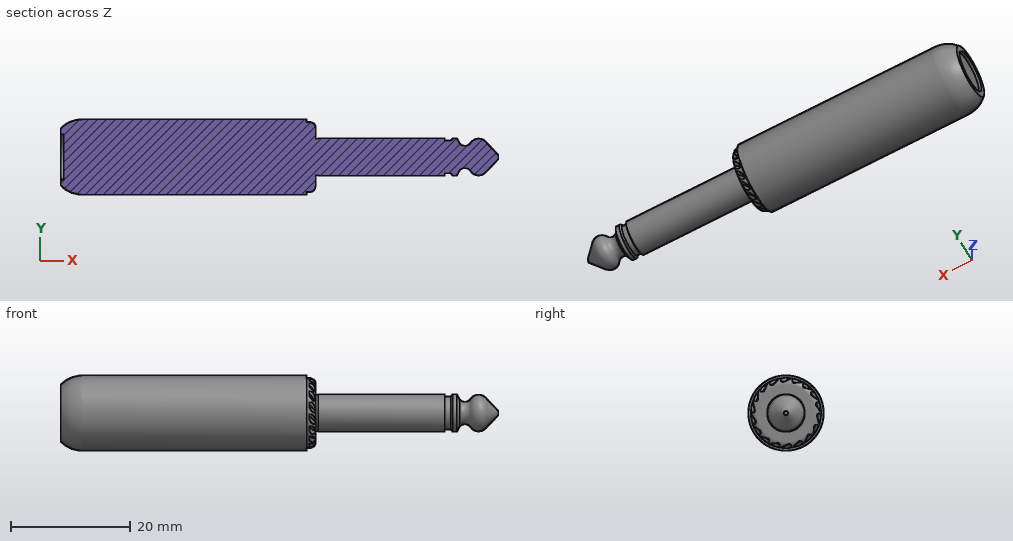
import cadquery as cq
import math


handle_radius = 6.35
handle_end = 41.3
dome_length = 3.6
dome_end_radius = 4.78
recess_radius = 3.75
recess_depth = 0.5

collar_radius = 5.9
collar_end = 42.85
collar_round = 1.1
flute_count = 18
flute_depth = 0.2
flute_half_width = 0.45
flute_start = 41.7
flute_end = 42.7
flute_helix_angle = 45.0

neck_radius = 3.1
neck_end = 43.2
sleeve_radius = 3.175
sleeve_end = 64.5

groove_radius = 2.8
groove_end = 65.5
ring_chamfer = 0.3
ring_flat_end = 66.5
ring_end = 67.0

waist_radius = 1.9
waist_center = 67.85
ball_radius = 3.12
ball_center = 70.15
ball_arc_radius = 1.6
tip_flat_radius = 0.35
overall_length = 73.47

HALF_ROOT = math.sqrt(0.5)


def dome_midpoint():
    """Middle of the arc that meets the handle tangentially and ends on the back face."""
    drop = handle_radius - dome_end_radius
    arc_radius = (dome_length**2 + drop**2) / (2 * drop)
    half_sweep = math.asin(dome_length / arc_radius) / 2
    x = dome_length - arc_radius * math.sin(half_sweep)
    r = handle_radius - arc_radius * (1 - math.cos(half_sweep))
    return x, r


def handle_and_sleeve():
    round_start = collar_end - collar_round
    round_inset = collar_round * (1 - HALF_ROOT)
    profile = (
        cq.Workplane("XY")
        .moveTo(0, 0)
        .lineTo(0, dome_end_radius)
        .threePointArc(dome_midpoint(), (dome_length, handle_radius))
        .lineTo(handle_end, handle_radius)
        .lineTo(handle_end, collar_radius)
        .lineTo(round_start, collar_radius)
        .threePointArc(
            (collar_end - round_inset, collar_radius - round_inset),
            (collar_end, collar_radius - collar_round),
        )
        .lineTo(collar_end, neck_radius)
        .lineTo(neck_end, neck_radius)
        .lineTo(neck_end, sleeve_radius)
        .lineTo(sleeve_end, sleeve_radius)
        .lineTo(sleeve_end, 0)
        .close()
    )
    return profile.revolve(360, (0, 0, 0), (1, 0, 0))


def waist_arc_radius():
    """Radius of the waist arc that runs tangentially into the ball arc."""
    distance = ball_center - waist_center
    rise = ball_radius - ball_arc_radius - waist_radius
    return (distance**2 + rise**2 - ball_arc_radius**2) / (2 * (ball_arc_radius + rise))


def ring_and_tip():
    arc_radius = waist_arc_radius()
    arc_height = waist_radius + arc_radius
    waist_edge_radius = arc_height - math.sqrt(arc_radius**2 - (waist_center - ring_end) ** 2)
    tangent_fraction = arc_radius / (arc_radius + ball_arc_radius)
    ball_height = ball_radius - ball_arc_radius
    waist_end = (
        waist_center + tangent_fraction * (ball_center - waist_center),
        arc_height + tangent_fraction * (ball_height - arc_height),
    )
    cone_offset = ball_arc_radius * HALF_ROOT
    cone_start_radius = ball_height + cone_offset
    profile = (
        cq.Workplane("XY")
        .moveTo(sleeve_end, 0)
        .lineTo(sleeve_end, groove_radius)
        .lineTo(groove_end, groove_radius)
        .lineTo(groove_end + ring_chamfer, sleeve_radius)
        .lineTo(ring_flat_end, sleeve_radius)
        .lineTo(ring_end, waist_edge_radius)
        .threePointArc((waist_center, waist_radius), waist_end)
        .threePointArc((ball_center, ball_radius), (ball_center + cone_offset, cone_start_radius))
        .lineTo(overall_length, tip_flat_radius)
        .lineTo(overall_length, 0)
        .close()
    )
    return profile.revolve(360, (0, 0, 0), (1, 0, 0))


def cable_recess():
    return cq.Workplane("YZ").circle(recess_radius).extrude(recess_depth)


def knurl_flute():
    """V-shaped cutter on top of the collar, its floor sloping down over the rounded edge."""
    length = flute_end - flute_start
    side_shift = length / 2 * math.tan(math.radians(flute_helix_angle))
    clearance = handle_radius - collar_radius
    run_onto_round = flute_end - (collar_end - collar_round)
    floor_drop = collar_round - math.sqrt(collar_round**2 - run_onto_round**2)
    rise = flute_depth + clearance + floor_drop
    half_width = flute_half_width * rise / flute_depth

    def v_section(x, y, floor):
        points = [
            cq.Vector(x, y, floor),
            cq.Vector(x, y - half_width, floor + rise),
            cq.Vector(x, y + half_width, floor + rise),
        ]
        return cq.Wire.makePolygon(points, close=True)

    start_floor = collar_radius - flute_depth
    sections = [
        v_section(flute_start, side_shift, start_floor),
        v_section(flute_end, -side_shift, start_floor - floor_drop),
    ]
    return cq.Solid.makeLoft(sections, True)


def knurl():
    flute = knurl_flute()
    axis_start = cq.Vector(0, 0, 0)
    axis_end = cq.Vector(1, 0, 0)
    pitch_angle = 360 / flute_count
    flutes = [flute.rotate(axis_start, axis_end, index * pitch_angle) for index in range(flute_count)]
    return cq.Workplane(obj=cq.Compound.makeCompound(flutes))


plug = handle_and_sleeve().union(ring_and_tip())
result = plug.cut(cable_recess()).cut(knurl())